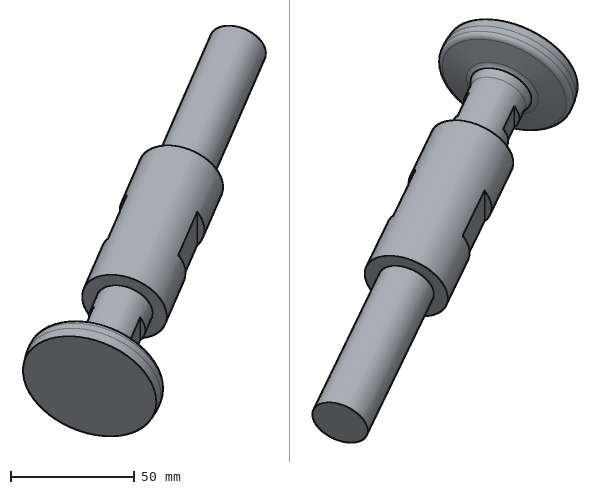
import cadquery as cq
import math

total_length = 197.0

spindle_diameter = 24.0
spindle_radius = spindle_diameter / 2
spindle_flats_across = 19.7
spindle_flats_length = 12.6
spindle_flats_center = 30.1

foot_radius = 58.0 / 2
foot_base_radius = 28.4
foot_taper_height = 4.1
rim_height = 7.0
shoulder_round = 2.5
slope_angle = math.radians(11)
slope_inner_radius = 15.5
neck_base_radius = 13.2
neck_base_height = 13.0
neck_top_height = 16.7

sleeve_diameter = 36.0
sleeve_length = 75.0
sleeve_start = 46.3
sleeve_flats_across = 30.0
sleeve_flats_length = 25.0
sleeve_flats_center = sleeve_start + sleeve_length / 2


def rod(diameter, start, length):
    """Cylinder along +Y beginning at Y = start."""
    return cq.Workplane("XZ", origin=(0, start, 0)).circle(diameter / 2).extrude(-length)


def cut_flats(body, diameter, across, length, center):
    """Cut two parallel wrench flats into the -X and +X sides of a round body."""
    for side in (-1, 1):
        cutter = cq.Workplane("XY").box(diameter, length, diameter)
        body = body.cut(cutter.translate((side * (across + diameter) / 2, center, 0)))
    return body


def arc_point(center, radius, angle):
    """Point on a circle, the angle measured from the +X direction."""
    return (center[0] + radius * math.cos(angle), center[1] + radius * math.sin(angle))


def make_spindle():
    """Spindle and foot turned in one piece, with wrench flats above the foot."""
    shoulder_center = (foot_radius - shoulder_round, rim_height)
    shoulder_end_angle = math.pi / 2 - slope_angle
    shoulder_end = arc_point(shoulder_center, shoulder_round, shoulder_end_angle)
    shoulder_middle = arc_point(shoulder_center, shoulder_round, shoulder_end_angle / 2)

    round_end = (neck_base_radius, neck_base_height)
    round_start = (
        slope_inner_radius,
        shoulder_end[1] + (shoulder_end[0] - slope_inner_radius) * math.tan(slope_angle),
    )
    profile = (
        cq.Workplane("XY")
        .lineTo(foot_base_radius, 0)
        .lineTo(foot_radius, foot_taper_height)
        .lineTo(foot_radius, rim_height)
        .threePointArc(shoulder_middle, shoulder_end)
        .lineTo(*round_start)
        .tangentArcPoint(round_end, relative=False)
        .lineTo(spindle_radius, neck_top_height)
        .lineTo(spindle_radius, total_length)
        .lineTo(0, total_length)
        .close()
    )
    body = profile.revolve(360, (0, 0, 0), (0, 1, 0))
    return cut_flats(
        body, spindle_diameter, spindle_flats_across, spindle_flats_length, spindle_flats_center
    )


def make_sleeve():
    """Sleeve bored through to fit the spindle, with wrench flats at mid-length."""
    body = rod(sleeve_diameter, sleeve_start, sleeve_length)
    body = body.cut(rod(spindle_diameter, sleeve_start, sleeve_length))
    return cut_flats(
        body, sleeve_diameter, sleeve_flats_across, sleeve_flats_length, sleeve_flats_center
    )


spindle = make_spindle()
sleeve = make_sleeve()

result = cq.Compound.makeCompound([*spindle.solids().vals(), *sleeve.solids().vals()])